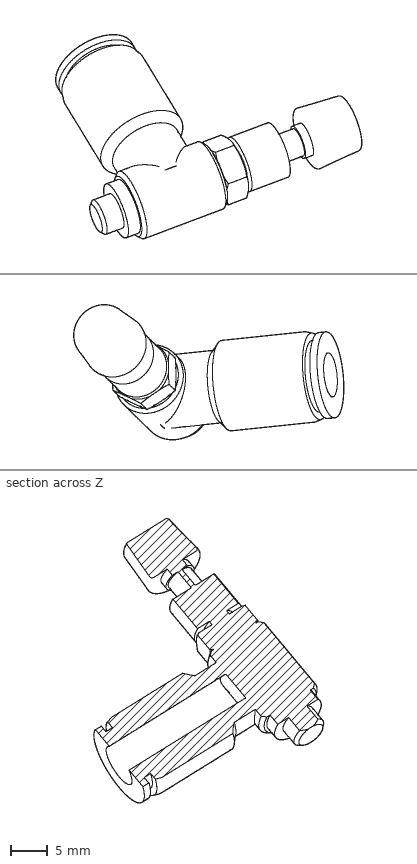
import cadquery as cq
import math


body_diameter = 9.8
body_half_length = 6.47
body_chamfer = 0.55
flange_diameter = 7.85
flange_end = -8.27
pin_diameter = 5.0
pin_end = -11.3
pin_chamfer = 0.5

hex_across_flats = 8.05
hex_start = body_half_length
hex_end = 9.75
hex_corner_diameter = hex_across_flats / math.cos(math.pi / 6)
hex_chamfer_diameter = 8.2
hex_chamfer_height = 0.25

neck_diameter = 4.9
sleeve_diameter = 7.93
sleeve_start = 10.35
sleeve_end = 16.12
stem_diameter = 4.0
collar_diameter = 4.7
collar_start = 19.2

knob_start = 20.38
knob_end = pin_end + 38.3
knob_base_diameter = 8.9
knob_top_diameter = 7.95
knob_base_fillet = 0.4
knob_top_fillet = 0.3

socket_face = -24.0
release_ring_diameter = 11.8
release_ring_end = -22.98
socket_start = -21.95
socket_rim_diameter = 11.87
socket_rim_end = -21.03
socket_diameter = 12.4
shoulder_start = -9.15
shoulder_end = -8.0
groove_diameter = 9.8
branch_diameter = 9.95
bore_diameter = 6.0


def cylinder_along_y(diameter, start, end):
    """Cylinder on the valve axis between two Y positions."""
    return cq.Workplane("XZ", origin=(0, start, 0)).circle(diameter / 2).extrude(start - end)


def make_socket():
    """Revolved tube socket whose branch meets the middle of the valve body."""
    profile = [
        (socket_face, bore_diameter / 2),
        (socket_face, release_ring_diameter / 2),
        (release_ring_end, release_ring_diameter / 2),
        (release_ring_end, groove_diameter / 2),
        (socket_start, groove_diameter / 2),
        (socket_start, socket_rim_diameter / 2),
        (socket_rim_end, socket_diameter / 2),
        (shoulder_start, socket_diameter / 2),
        (shoulder_end, branch_diameter / 2),
        (0, branch_diameter / 2),
        (0, bore_diameter / 2),
    ]
    return cq.Workplane("XY").polyline(profile).close().revolve(360, (0, 0, 0), (1, 0, 0))


def make_body():
    """Chamfered valve body with its flange and end pin."""
    body = cylinder_along_y(body_diameter, -body_half_length, body_half_length)
    body = body.faces("<Y or >Y").chamfer(body_chamfer)
    flange = cylinder_along_y(flange_diameter, flange_end, 0)
    pin = cylinder_along_y(pin_diameter, pin_end, 0).faces("<Y").chamfer(pin_chamfer)
    return body.union(flange).union(pin)


def make_hex_nut():
    """Lock nut with flats facing +X and -X and its corners chamfered at both ends."""
    prism = (
        cq.Workplane("XZ", origin=(0, hex_start, 0))
        .transformed(rotate=(0, 0, 90))
        .polygon(6, hex_corner_diameter)
        .extrude(hex_start - hex_end)
    )
    envelope_profile = [
        (0, hex_start),
        (hex_chamfer_diameter / 2, hex_start),
        (hex_corner_diameter / 2, hex_start + hex_chamfer_height),
        (hex_corner_diameter / 2, hex_end - hex_chamfer_height),
        (hex_chamfer_diameter / 2, hex_end),
        (0, hex_end),
    ]
    envelope = cq.Workplane("XY").polyline(envelope_profile).close().revolve(360, (0, 0, 0), (0, 1, 0))
    return prism.intersect(envelope)


def make_stem():
    """Neck, sleeve, adjusting stem and the collar under the knob."""
    neck = cylinder_along_y(neck_diameter, 0, sleeve_start)
    sleeve = cylinder_along_y(sleeve_diameter, sleeve_start, sleeve_end)
    stem = cylinder_along_y(stem_diameter, sleeve_end, collar_start)
    collar = cylinder_along_y(collar_diameter, collar_start, knob_start)
    return neck.union(sleeve).union(stem).union(collar)


def make_knob():
    """Knob that tapers towards +Y, with rounded rims."""
    profile = [
        (0, knob_start),
        (knob_base_diameter / 2, knob_start),
        (knob_top_diameter / 2, knob_end),
        (0, knob_end),
    ]
    knob = cq.Workplane("XY").polyline(profile).close().revolve(360, (0, 0, 0), (0, 1, 0))
    knob = knob.faces("<Y").edges().fillet(knob_base_fillet)
    return knob.faces(">Y").edges().fillet(knob_top_fillet)


result = make_socket().union(make_body()).union(make_hex_nut()).union(make_stem()).union(make_knob())